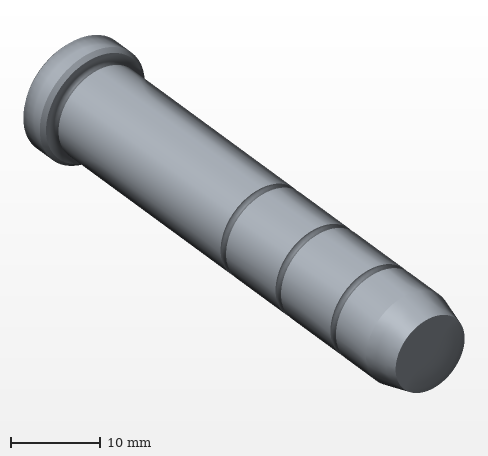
import cadquery as cq
import math

total_length = 65.0
head_diameter = 15.0
head_length = 4.0
head_edge_chamfer = 0.5
shank_diameter = 12.0
groove_width = 1.0
groove_pitch = 10.0
groove_count = 3
first_groove_centre = 35.0
nose_length = 4.0
nose_half_angle = 15.0

head_radius = head_diameter / 2
shank_radius = shank_diameter / 2
groove_radius = groove_width / 2
undercut_centre = head_length + groove_radius
nose_start = total_length - nose_length
tip_radius = shank_radius - nose_length * math.tan(math.radians(nose_half_angle))


def make_head():
    """Disc head with both rims chamfered."""
    head = cq.Workplane("YZ").circle(head_radius).extrude(head_length)
    return head.edges().chamfer(head_edge_chamfer)


def make_shank():
    """Cylindrical shank ending in a tapered nose, revolved about X."""
    profile = (
        cq.Workplane("XY")
        .lineTo(0, shank_radius - groove_radius)
        .lineTo(head_length, shank_radius - groove_radius)
        .lineTo(head_length, shank_radius)
        .lineTo(nose_start, shank_radius)
        .lineTo(total_length, tip_radius)
        .lineTo(total_length, 0)
        .close()
    )
    return profile.revolve(360, (0, 0, 0), (1, 0, 0))


def make_ring(centre_x):
    """Round-section ring that cuts a half-round groove into the shank surface."""
    section = cq.Workplane("XY").center(centre_x, shank_radius).circle(groove_radius)
    return section.revolve(360, (0, -shank_radius, 0), (1, -shank_radius, 0))


ring_centres = [undercut_centre]
for index in range(groove_count):
    ring_centres.append(first_groove_centre + index * groove_pitch)

result = make_head().union(make_shank())
for ring_centre in ring_centres:
    result = result.cut(make_ring(ring_centre))